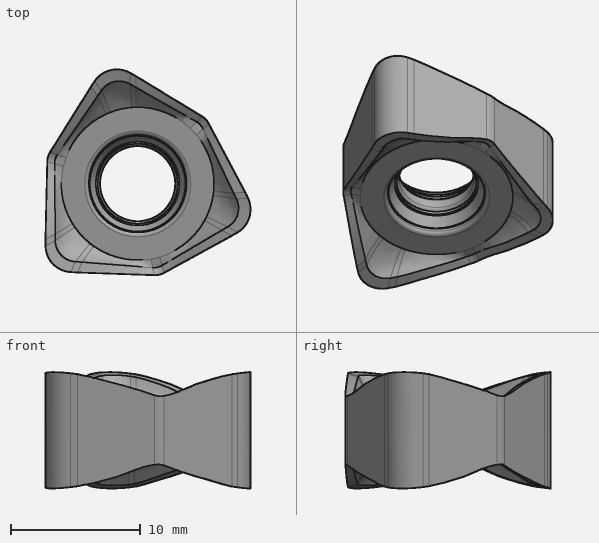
import cadquery as cq
import math


NOSES = 3
PITCH = 360 / NOSES
FIRST_NOSE = 103.35

NOSE_CENTRE = 6.95
NOSE_RADIUS = 2.07
NOSE_HALF_ANGLE = 43.0
WIPER_LENGTH = 0.51
CORNER_DISTANCE = 7.28
CORNER_TRIM = 0.4

LAND_NOSE_CENTRE = 6.42
LAND_NOSE_RADIUS = 1.65
LAND_CORNER_DISTANCE = 6.69
LAND_NOSE_TWIST = -0.5
LAND_DROP = 0.24

RIM_HEIGHTS = [4.5, 4.35, 3.91, 3.51, 3.08, 2.64, 2.92, 3.5, 3.94, 4.34]

SEAT_RADIUS = 5.9
SEAT_HEIGHT = 2.51
WALL_MIDWAY = 0.5
WALL_SAG = 0.65

MOUTH_RADIUS = 3.77
LIP_RADIUS = 0.32
CONE_TOP_RADIUS = 3.69
CONE_TOP_DEPTH = 0.57
CONE_FOOT_RADIUS = 3.23
CONE_FOOT_DEPTH = 1.5
NECK_RADIUS = 3.08
BORE_RADIUS = 2.89
BORE_DEPTH = 2.1
BORE_ROUNDING = 0.32

EDGES_PER_NOSE = 6
NOSE_EDGE = 2
SPANS = 6
SHARES = [k / SPANS for k in range(SPANS + 1)]


def polar(radius, degrees):
    angle = math.radians(degrees)
    return (radius * math.cos(angle), radius * math.sin(angle))


def between(a, b, share):
    return tuple(p + (q - p) * share for p, q in zip(a, b))


def moved(point, distance, degrees):
    dx, dy = polar(distance, degrees)
    return (point[0] + dx, point[1] + dy)


def moved_towards(start, target, distance):
    return between(start, target, distance / math.dist(start, target))


def straight(start, end):
    return [between(start, end, s) for s in SHARES]


def angle_of(point):
    return math.degrees(math.atan2(point[1], point[0]))


def rim_height(degrees):
    """Smooth periodic cubic through RIM_HEIGHTS."""
    count = len(RIM_HEIGHTS)
    place = (degrees - FIRST_NOSE) % PITCH / PITCH * count
    index = int(place)
    t = place - index
    before, start, end, after = [RIM_HEIGHTS[(index + k) % count] for k in (-1, 0, 1, 2)]
    slope_in = (end - before) / 2
    slope_out = (after - start) / 2
    bend = 2 * (start - end) + slope_in + slope_out
    return start + slope_in * t + (end - start - slope_in - bend) * t**2 + bend * t**3


def outline_edges(nose_centre, nose_radius, corner_distance, nose_twist=0):
    """Plan outline as a closed chain of edges, each a list of points, counter-clockwise."""
    chain = []
    for k in range(NOSES):
        pitch_line = FIRST_NOSE + k * PITCH
        nose = pitch_line + nose_twist
        centre = polar(nose_centre, nose)

        arc = [moved(centre, nose_radius, nose + NOSE_HALF_ANGLE * (2 * s - 1)) for s in SHARES]
        wiper_turn = NOSE_HALF_ANGLE + 90
        wiper_before = moved(arc[0], WIPER_LENGTH, nose - wiper_turn)
        wiper_after = moved(arc[-1], WIPER_LENGTH, nose + wiper_turn)

        corner_before = polar(corner_distance, pitch_line - PITCH / 2)
        corner_after = polar(corner_distance, pitch_line + PITCH / 2)
        flat_start = moved_towards(corner_before, wiper_before, CORNER_TRIM)
        flat_end = moved_towards(corner_after, wiper_after, CORNER_TRIM)

        next_start = polar(math.hypot(*flat_start), angle_of(flat_start) + PITCH)
        rounding = []
        for s in SHARES:
            approach = between(flat_end, corner_after, s)
            departure = between(corner_after, next_start, s)
            rounding.append(between(approach, departure, s))

        chain.append(straight(flat_start, wiper_before))
        chain.append(straight(wiper_before, arc[0]))
        chain.append(arc)
        chain.append(straight(arc[-1], wiper_after))
        chain.append(straight(wiper_after, flat_end))
        chain.append(rounding)
    return chain


def raised(chain, drop):
    """Lift a plan outline to the rim height less a drop."""
    return [[(x, y, rim_height(angle_of((x, y))) - drop) for x, y in edge] for edge in chain]


def turned_over(point):
    """Half turn about the horizontal line through an obtuse corner."""
    x, y, z = point
    axis = FIRST_NOSE + PITCH / 2
    mirrored = polar(math.hypot(x, y), 2 * axis - angle_of(point))
    return (*mirrored, -z)


def spline_edges(chain):
    return [cq.Edge.makeSpline([cq.Vector(*p) for p in edge]) for edge in chain]


def turned_chain(chain):
    """Turn a closed chain over, keeping each edge under its counterpart and in the same sense."""
    swap = 2 * (NOSE_EDGE + EDGES_PER_NOSE // 2)
    swapped = [chain[(swap - k) % len(chain)] for k in range(len(chain))]
    return [[turned_over(p) for p in reversed(edge)] for edge in swapped]


def ruled_faces(edges_a, edges_b):
    return [cq.Face.makeRuledSurface(a, b) for a, b in zip(edges_a, edges_b)]


def side_faces(rim, land):
    """Rim land, pocket wall and flat seat of one side."""
    seat = []
    middle = []
    sign = math.copysign(1, rim[0][0][2])
    for edge in land:
        foot = [(*polar(SEAT_RADIUS, angle_of(p)), sign * SEAT_HEIGHT) for p in edge]
        seat.append(foot)
        row = []
        for top, low in zip(edge, foot):
            x, y, _ = between(top, low, WALL_MIDWAY)
            row.append((x, y, between(top, low, WALL_SAG)[2]))
        middle.append(row)
    sections = [cq.Wire.assembleEdges(spline_edges(c)) for c in (land, middle, seat)]
    pocket = cq.Solid.makeLoft(sections)
    wall = [f for f in pocket.Faces() if f.geomType() != "PLANE"]
    floor = cq.Face.makeFromWires(sections[-1])
    return ruled_faces(spline_edges(rim), spline_edges(land)) + wall + [floor]


rim_plan = outline_edges(NOSE_CENTRE, NOSE_RADIUS, CORNER_DISTANCE)
land_plan = outline_edges(LAND_NOSE_CENTRE, LAND_NOSE_RADIUS, LAND_CORNER_DISTANCE, LAND_NOSE_TWIST)
top_rim = raised(rim_plan, 0)
top_land = raised(land_plan, LAND_DROP)
bottom_rim = turned_chain(top_rim)
bottom_land = turned_chain(top_land)

flanks = ruled_faces(spline_edges(top_rim), spline_edges(bottom_rim))
faces = side_faces(top_rim, top_land) + flanks + side_faces(bottom_rim, bottom_land)
body = cq.Solid.makeSolid(cq.Shell.makeShell(faces)).fix()


def hole_cutter():
    """Revolved cutter, alike on both sides of the mid-plane."""
    bore_top = SEAT_HEIGHT - BORE_DEPTH
    cone_foot = SEAT_HEIGHT - CONE_FOOT_DEPTH
    cone_top = SEAT_HEIGHT - CONE_TOP_DEPTH
    inset = BORE_ROUNDING - (NECK_RADIUS - BORE_RADIUS)
    neck_foot = bore_top + math.sqrt(BORE_ROUNDING**2 - inset**2)
    half = (
        cq.Workplane("XZ")
        .lineTo(BORE_RADIUS, 0)
        .lineTo(BORE_RADIUS, bore_top)
        .tangentArcPoint((NECK_RADIUS, neck_foot), relative=False)
        .lineTo(NECK_RADIUS, cone_foot)
        .lineTo(CONE_FOOT_RADIUS, cone_foot)
        .lineTo(CONE_TOP_RADIUS, cone_top)
        .lineTo(MOUTH_RADIUS, cone_top)
        .lineTo(MOUTH_RADIUS, SEAT_HEIGHT - LIP_RADIUS)
        .tangentArcPoint((MOUTH_RADIUS + LIP_RADIUS, SEAT_HEIGHT), relative=False)
        .lineTo(0, SEAT_HEIGHT)
        .close()
        .revolve(360, (0, 0, 0), (0, 1, 0))
    )
    return half.union(half.mirror("XY"))


result = cq.Workplane(body).cut(hole_cutter())